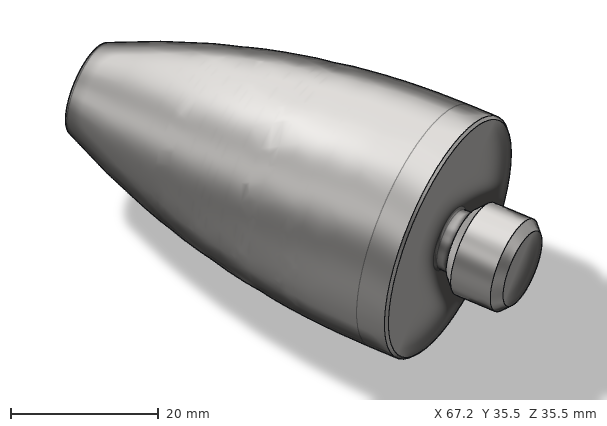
import cadquery as cq
import math

total_length = 67.2
body_length = 56.0
rim_start = 51.3
rim_radius = 17.75
rim_chamfer = 0.4
nose_radius = 6.8
nose_face_radius = 6.05
nose_edge_length = 0.5
neck_radius = 4.4
neck_end = 58.3
neck_fillet = 0.35
head_radius = 6.8
head_back_chamfer = 1.55
head_end_chamfer = 1.3

flank_length = rim_start - nose_edge_length
flank_rise = rim_radius - nose_radius
flank_arc_radius = (flank_length**2 + flank_rise**2) / (2 * flank_rise)
flank_mid_x = (nose_edge_length + rim_start) / 2
flank_mid_drop = flank_arc_radius - math.sqrt(flank_arc_radius**2 - (rim_start - flank_mid_x) ** 2)
flank_mid = (flank_mid_x, rim_radius - flank_mid_drop)

flank_slope = flank_length / (flank_arc_radius - flank_rise)
flank_start_tangent = (-1, -flank_slope)


def make_body():
    """Bullet-shaped body with a cylindrical rim, chamfered at its back edge."""
    profile = (
        cq.Workplane("XY")
        .moveTo(0, 0)
        .lineTo(body_length, 0)
        .lineTo(body_length, rim_radius - rim_chamfer)
        .lineTo(body_length - rim_chamfer, rim_radius)
        .lineTo(rim_start, rim_radius)
        .threePointArc(flank_mid, (nose_edge_length, nose_radius))
        .spline([(0, nose_face_radius)], tangents=[flank_start_tangent, (0, -1)], includeCurrent=True)
        .close()
    )
    return profile.revolve(360, (0, 0, 0), (1, 0, 0))


def make_stud():
    """Necked stud: a fillet at each end of the neck, then a head chamfered at both ends."""
    fillet_radius = neck_radius + neck_fillet
    arc_offset = neck_fillet * (1 - math.sqrt(0.5))
    profile = (
        cq.Workplane("XY")
        .moveTo(body_length, 0)
        .lineTo(body_length, fillet_radius)
        .threePointArc(
            (body_length + arc_offset, neck_radius + arc_offset),
            (body_length + neck_fillet, neck_radius),
        )
        .lineTo(neck_end - neck_fillet, neck_radius)
        .threePointArc(
            (neck_end - arc_offset, neck_radius + arc_offset),
            (neck_end, fillet_radius),
        )
        .lineTo(neck_end, head_radius - head_back_chamfer)
        .lineTo(neck_end + head_back_chamfer, head_radius)
        .lineTo(total_length - head_end_chamfer, head_radius)
        .lineTo(total_length, head_radius - head_end_chamfer)
        .lineTo(total_length, 0)
        .close()
    )
    return profile.revolve(360, (0, 0, 0), (1, 0, 0))


result = make_body().union(make_stud())